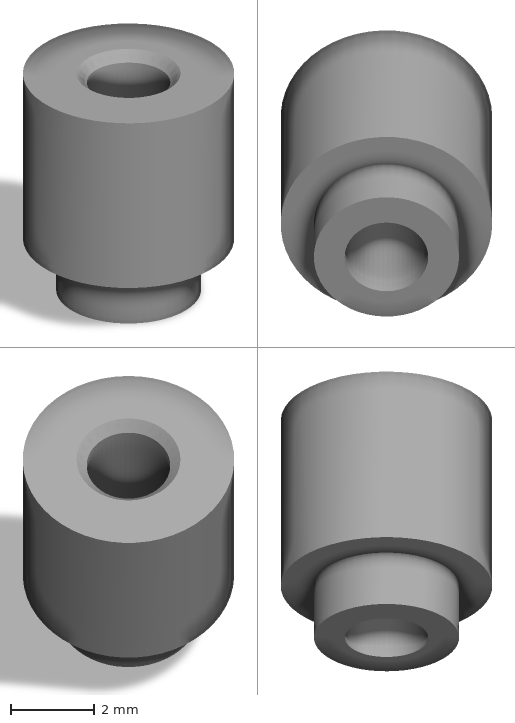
import cadquery as cq

total_height = 5.9
body_diameter = 5.1

spigot_diameter = 3.5
spigot_height = 1.4

bore_diameter = 2.01
countersink_diameter = 2.5
countersink_depth = (countersink_diameter - bore_diameter) / 2

body_height = total_height - spigot_height

spigot = cq.Workplane("XY").circle(spigot_diameter / 2).extrude(spigot_height)
body = (
    cq.Workplane("XY")
    .workplane(offset=spigot_height)
    .circle(body_diameter / 2)
    .extrude(body_height)
)
sleeve = spigot.union(body)

sleeve = sleeve.faces(">Z").workplane().hole(bore_diameter)
result = sleeve.faces(">Z").edges("%CIRCLE").edges(cq.selectors.RadiusNthSelector(0)).chamfer(countersink_depth)